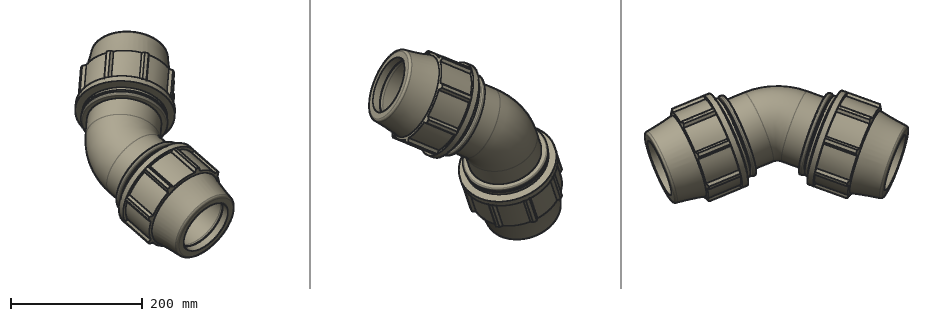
import cadquery as cq
import math

BEND_ANGLE = 45.0
CORNER_TO_END = 194.0
BEND_START = 30.0
PIPE_RADIUS = 57.0
BORE_RADIUS = 45.0

ARM_LENGTH = CORNER_TO_END - BEND_START
BEND_RADIUS = BEND_START / math.tan(math.radians(BEND_ANGLE / 2))
ROUNDED_COLLAR_START = 31.5
ROUNDED_COLLAR_WIDTH = 6.5
ROUNDED_COLLAR_RADIUS = 132.24 / 2
ROUNDED_COLLAR_FILLET = 2.0
PLAIN_COLLAR_START = 41.5
PLAIN_COLLAR_WIDTH = 5.0
PLAIN_COLLAR_RADIUS = 129.59 / 2

FLANGE_START = 49.8
FLANGE_WIDTH = 10.0
FLANGE_RADIUS = 76.0
GRIP_START = FLANGE_START + FLANGE_WIDTH
GRIP_END = 115.7
GRIP_RADIUS = 70.8
GRIP_END_SLOPE = 0.38

NOSE_BASE_RADIUS = 66.8
NOSE_MIDDLE_RADIUS = 61.8
NOSE_TIP_RADIUS = 58.5
NOSE_FILLET = 4.0

RIB_COUNT = 8
RIB_TOP_HALF_WIDTH = 3.0
RIB_TOP_HEIGHT = math.sqrt(FLANGE_RADIUS**2 - RIB_TOP_HALF_WIDTH**2)
RIB_ROOT_HEIGHT = 69.0
RIB_FLANK_SLOPE = 0.57

MOUTH_RADIUS = 44.7
LIP_INNER_RADIUS = 44.3
LIP_DEPTH = 12.8
UNDERCUT_RADIUS = 45.6
UNDERCUT_END_DEPTH = 17.5


def revolve_about_x(sketch):
    return sketch.close().revolve(360, (0, 0, 0), (1, 0, 0))


def cylinder(start, length, radius):
    return cq.Workplane("YZ", origin=(start, 0, 0)).circle(radius).extrude(length)


def rounded_collar():
    collar = cylinder(ROUNDED_COLLAR_START, ROUNDED_COLLAR_WIDTH, ROUNDED_COLLAR_RADIUS)
    return collar.edges().fillet(ROUNDED_COLLAR_FILLET)


def nose():
    middle = (GRIP_END + ARM_LENGTH) / 2
    blank = revolve_about_x(
        cq.Workplane("XY")
        .moveTo(GRIP_START, 0)
        .lineTo(GRIP_START, NOSE_BASE_RADIUS)
        .lineTo(GRIP_END, NOSE_BASE_RADIUS)
        .threePointArc((middle, NOSE_MIDDLE_RADIUS), (ARM_LENGTH, NOSE_TIP_RADIUS))
        .lineTo(ARM_LENGTH, 0)
    )
    return blank.faces(">X").edges().fillet(NOSE_FILLET)


def rib():
    root_half_width = RIB_TOP_HALF_WIDTH + RIB_FLANK_SLOPE * (RIB_TOP_HEIGHT - RIB_ROOT_HEIGHT)
    return (
        cq.Workplane("YZ", origin=(GRIP_START, 0, 0))
        .moveTo(-root_half_width, RIB_ROOT_HEIGHT)
        .lineTo(-RIB_TOP_HALF_WIDTH, RIB_TOP_HEIGHT)
        .lineTo(RIB_TOP_HALF_WIDTH, RIB_TOP_HEIGHT)
        .lineTo(root_half_width, RIB_ROOT_HEIGHT)
        .close()
        .extrude(GRIP_END - GRIP_START)
    )


def grip():
    body = cylinder(GRIP_START, GRIP_END - GRIP_START, GRIP_RADIUS)
    pitch = 360 / RIB_COUNT
    for index in range(RIB_COUNT):
        body = body.union(rib().rotate((0, 0, 0), (1, 0, 0), (index + 0.5) * pitch))
    slope_run = GRIP_END_SLOPE * (FLANGE_RADIUS - NOSE_BASE_RADIUS)
    end_slope = revolve_about_x(
        cq.Workplane("XY")
        .moveTo(GRIP_END, NOSE_BASE_RADIUS)
        .lineTo(GRIP_END - slope_run, FLANGE_RADIUS)
        .lineTo(GRIP_END, FLANGE_RADIUS)
    )
    return body.cut(end_slope)


def arm():
    return (
        cylinder(0, GRIP_START, PIPE_RADIUS)
        .union(rounded_collar())
        .union(cylinder(PLAIN_COLLAR_START, PLAIN_COLLAR_WIDTH, PLAIN_COLLAR_RADIUS))
        .union(cylinder(FLANGE_START, FLANGE_WIDTH, FLANGE_RADIUS))
        .union(grip())
        .union(nose())
    )


def arm_bore():
    lip_end = ARM_LENGTH - LIP_DEPTH
    return revolve_about_x(
        cq.Workplane("XY")
        .moveTo(0, 0)
        .lineTo(0, BORE_RADIUS)
        .lineTo(ARM_LENGTH - UNDERCUT_END_DEPTH, BORE_RADIUS)
        .lineTo(lip_end, UNDERCUT_RADIUS)
        .lineTo(lip_end, LIP_INNER_RADIUS)
        .lineTo(ARM_LENGTH, MOUTH_RADIUS)
        .lineTo(ARM_LENGTH, 0)
    )


def bend(radius):
    return (
        cq.Workplane("YZ")
        .circle(radius)
        .revolve(BEND_ANGLE, (BEND_RADIUS, 0, 0), (BEND_RADIUS, -1, 0))
    )


def on_far_arm(shape):
    """Mirror a shape from the +X arm onto the arm beyond the bend."""
    turned = shape.mirror("YZ")
    return turned.rotate((0, BEND_RADIUS, 0), (0, BEND_RADIUS, 1), -BEND_ANGLE)


near_arm = arm()
near_bore = arm_bore()
outside = bend(PIPE_RADIUS).union(near_arm).union(on_far_arm(near_arm))
passage = bend(BORE_RADIUS).union(near_bore).union(on_far_arm(near_bore))
result = outside.cut(passage)